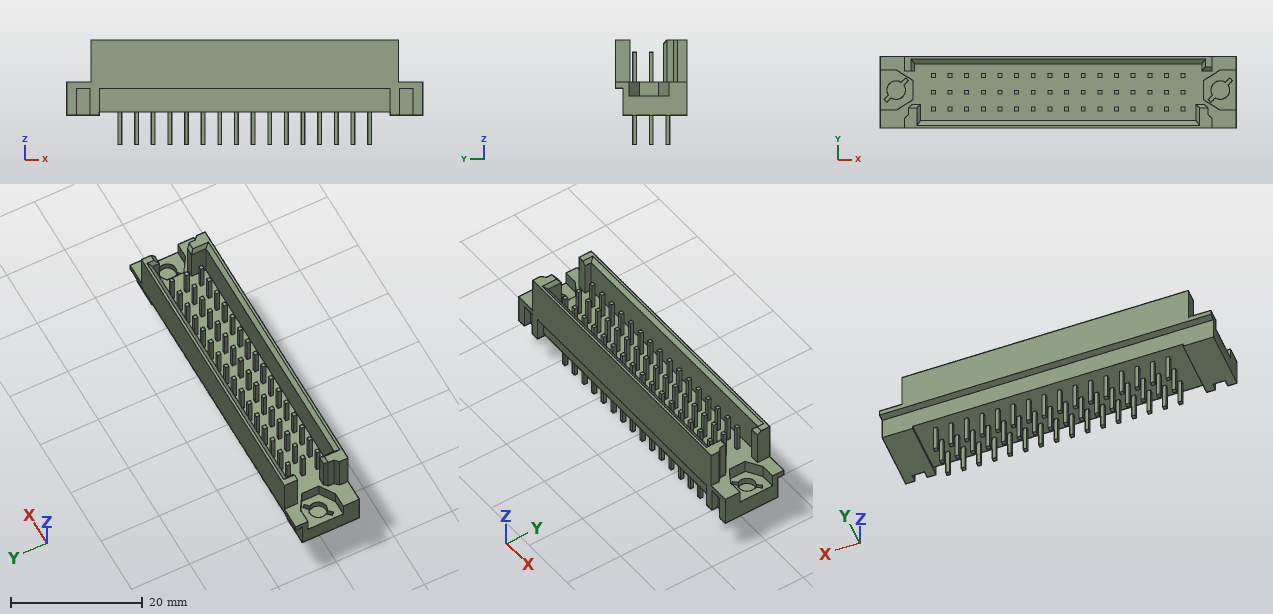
import cadquery as cq

LENGTH = 54.35
WIDTH = 11.0
DECK_Z = 5.1
FLANGE_BOTTOM_Z = 4.15
CORE_WIDTH = 8.7
CORE_BOTTOM_Z = 0.5
HALF_LENGTH = LENGTH / 2
HALF_WIDTH = WIDTH / 2
CORE_HALF_WIDTH = CORE_WIDTH / 2

FOOT_INNER_X = 22.2
LEG_SLOT_INNER_X = 23.65
LEG_SLOT_OUTER_X = 25.65

WALL_TOP_Z = 11.5
WALL_HALF_LENGTH = 23.5
BEVEL_HEIGHT = 0.6
END_BEVEL = 0.55
SIDE_BEVEL = 0.7
KEY_BEVEL = 0.65
BACK_LIP_INNER_X = 21.9
BACK_LIP_Y = 3.2
FRONT_LIP_INNER_X = 21.05
FRONT_LIP_Y = -1.85
LIP_STEP = 0.65
LIP_STEP_Y = -4.0
LIP_CORNER_X = 22.3

POCKET_DEPTH = 2.1
POCKET_Y = 0.3
POCKET_HALF_WIDTH = 3.05
POCKET_TIP_HALF_WIDTH = 1.45
POCKET_TAPER_X = 24.7
POCKET_INNER_X = 22.2
POCKET_FLOOR_Z = DECK_Z - POCKET_DEPTH

HOLE_X = 24.75
HOLE_DIAMETER = 2.8
HOLE_DEPTH = 1.1
HOLE_SLOT_LENGTH = 4.7
HOLE_SLOT_WIDTH = 0.6
HOLE_SLOT_ANGLE = 45

PIN_COLUMNS = 16
PIN_ROW_LENGTH = 38.1
PIN_PITCH = PIN_ROW_LENGTH / (PIN_COLUMNS - 1)
PIN_ROWS = 3
PIN_SIZE = 0.6
PIN_TOP_Z = 9.7
PIN_BOTTOM_Z = -4.45


def block(x0, x1, y0, y1, z0, z1):
    """Box between opposite corner coordinates."""
    return cq.Workplane("XY").box(x1 - x0, y1 - y0, z1 - z0, centered=False).translate((x0, y0, z0))


def mirrored(points):
    """Outline points reflected across X = 0, in reverse order."""
    return [(-x, y) for x, y in reversed(points)]


def make_body():
    body = block(-HALF_LENGTH, HALF_LENGTH, -HALF_WIDTH, HALF_WIDTH, FLANGE_BOTTOM_Z, DECK_Z)
    core = block(
        -FOOT_INNER_X, FOOT_INNER_X, -CORE_HALF_WIDTH, CORE_HALF_WIDTH, CORE_BOTTOM_Z, FLANGE_BOTTOM_Z
    )
    foot = block(FOOT_INNER_X, HALF_LENGTH, -HALF_WIDTH, CORE_HALF_WIDTH, 0, FLANGE_BOTTOM_Z)
    leg_slot = block(
        LEG_SLOT_INNER_X, LEG_SLOT_OUTER_X, -HALF_WIDTH, -CORE_HALF_WIDTH, 0, FLANGE_BOTTOM_Z
    )
    foot = foot.cut(leg_slot)
    return body.union(core).union(foot).union(foot.mirror("YZ"))


def make_wall(end_points):
    """Upright wall, symmetric about X = 0, from the outline points of its -X end."""
    outline = end_points + mirrored(end_points)
    base = cq.Workplane("XY").workplane(offset=DECK_Z).polyline(outline).close()
    return base.extrude(WALL_TOP_Z - DECK_Z)


def make_back_wall():
    """Straight wall with a rectangular lip at each end."""
    return make_wall([
        (-WALL_HALF_LENGTH, HALF_WIDTH),
        (-WALL_HALF_LENGTH, BACK_LIP_Y),
        (-BACK_LIP_INNER_X, BACK_LIP_Y),
        (-BACK_LIP_INNER_X, CORE_HALF_WIDTH),
    ])


def make_front_wall():
    """Straight wall whose end lips step inward and have a diagonal outer corner."""
    step_x = WALL_HALF_LENGTH - LIP_STEP
    return make_wall([
        (-WALL_HALF_LENGTH, -HALF_WIDTH),
        (-WALL_HALF_LENGTH, LIP_STEP_Y),
        (-step_x, LIP_STEP_Y + LIP_STEP),
        (-step_x, FRONT_LIP_Y - END_BEVEL),
        (-LIP_CORNER_X, FRONT_LIP_Y),
        (-FRONT_LIP_INNER_X, FRONT_LIP_Y),
        (-FRONT_LIP_INNER_X, -CORE_HALF_WIDTH),
    ])


def cavity_outline(end_bevel, side_bevel, key_bevel):
    """Outline of the space between the walls, widened by the given bevels."""
    front_x = FRONT_LIP_INNER_X + end_bevel
    front_y = -CORE_HALF_WIDTH - side_bevel
    front_lip_y = FRONT_LIP_Y - end_bevel
    back_x = BACK_LIP_INNER_X + end_bevel
    back_y = CORE_HALF_WIDTH + side_bevel
    keyed_lip_y = BACK_LIP_Y + key_bevel
    return [
        (-WALL_HALF_LENGTH, front_lip_y),
        (-front_x, front_lip_y),
        (-front_x, front_y),
        (front_x, front_y),
        (front_x, front_lip_y),
        (WALL_HALF_LENGTH, front_lip_y),
        (WALL_HALF_LENGTH, keyed_lip_y),
        (back_x, keyed_lip_y),
        (back_x, back_y),
        (-back_x, back_y),
        (-back_x, BACK_LIP_Y),
        (-WALL_HALF_LENGTH, BACK_LIP_Y),
    ]


def make_rim_bevel():
    """Cutter flaring the cavity at the wall tops; of the back lips, only the +X end is bevelled."""
    return (
        cq.Workplane("XY")
        .workplane(offset=WALL_TOP_Z - BEVEL_HEIGHT)
        .polyline(cavity_outline(0, 0, 0))
        .close()
        .workplane(offset=BEVEL_HEIGHT)
        .polyline(cavity_outline(END_BEVEL, SIDE_BEVEL, KEY_BEVEL))
        .close()
        .loft(ruled=True)
    )


def make_pocket(side):
    """Cutter for the tapered pocket and slotted recess at one end (side is -1 or 1)."""
    half_outline = [
        (side * HALF_LENGTH, POCKET_HALF_WIDTH),
        (side * POCKET_TAPER_X, POCKET_HALF_WIDTH),
        (side * POCKET_INNER_X, POCKET_TIP_HALF_WIDTH),
    ]
    outline = half_outline + [(x, -y) for x, y in reversed(half_outline)]
    pocket = cq.Workplane("XY", origin=(0, POCKET_Y, POCKET_FLOOR_Z)).polyline(outline).close()
    recess_plane = cq.Workplane("XY", origin=(side * HOLE_X, POCKET_Y, POCKET_FLOOR_Z))
    hole = recess_plane.circle(HOLE_DIAMETER / 2).extrude(-HOLE_DEPTH)
    slot = (
        recess_plane.transformed(rotate=(0, 0, HOLE_SLOT_ANGLE))
        .rect(HOLE_SLOT_LENGTH, HOLE_SLOT_WIDTH)
        .extrude(-HOLE_DEPTH)
    )
    return pocket.extrude(POCKET_DEPTH).union(hole).union(slot)


def make_pins():
    return (
        cq.Workplane("XY")
        .workplane(offset=PIN_BOTTOM_Z)
        .rarray(PIN_PITCH, PIN_PITCH, PIN_COLUMNS, PIN_ROWS)
        .rect(PIN_SIZE, PIN_SIZE)
        .extrude(PIN_TOP_Z - PIN_BOTTOM_Z)
    )


walls = make_back_wall().union(make_front_wall()).cut(make_rim_bevel())
result = make_body().union(walls)
for end in (-1, 1):
    result = result.cut(make_pocket(end))
result = result.union(make_pins())